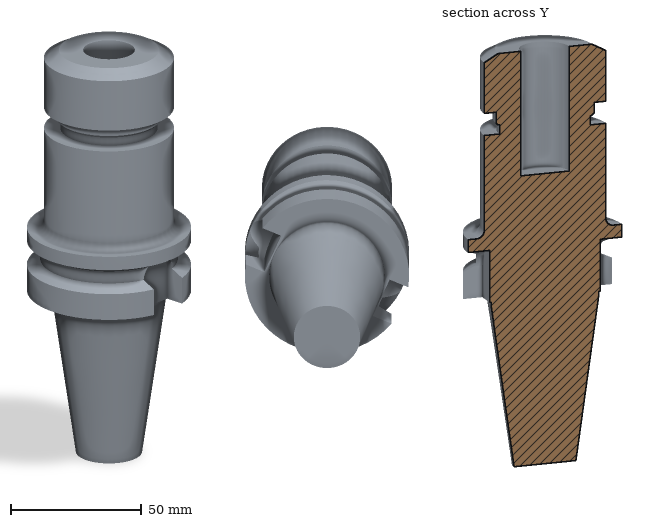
import cadquery as cq

TOTAL_HEIGHT = 165.4
GAUGE_Z = 65.3
FLANGE_BOTTOM_Z = 66.5
GROOVE_Z = 82.0
FLANGE_TOP_Z = 92.5
BODY_TOP_Z = 133.3
COLLAR_BOTTOM_Z = 136.8
NUT_BOTTOM_Z = 141.9

TAPER_SMALL_RADIUS = 12.7
GAUGE_RADIUS = 22.2
FLANGE_RADIUS = 31.51
GROOVE_RADIUS = 26.5
BODY_RADIUS = 25.0
NECK_RADIUS = 18.7
COLLAR_RADIUS = 20.2
NUT_TOP_RADIUS = 19.2
BORE_RADIUS = 10.0

GROOVE_FLOOR_WIDTH = 5.0
GROOVE_FLANK_HEIGHT = 2.5
BODY_FILLET = 3.0
COLLAR_CHAMFER = 1.0
NUT_CHAMFER_HEIGHT = 3.1
BORE_DEPTH = 49.6
SLOT_WIDTH = 16.2
SLOT_FLOOR_X = 22.7
SLOT_TOP_Z = 87.2


def make_holder():
    """Revolve the taper, flange, body, neck and clamping nut about Z."""
    floor_bottom = GROOVE_Z - GROOVE_FLOOR_WIDTH / 2
    floor_top = GROOVE_Z + GROOVE_FLOOR_WIDTH / 2
    profile = (
        cq.Workplane("XZ")
        .moveTo(0, 0)
        .lineTo(TAPER_SMALL_RADIUS, 0)
        .lineTo(GAUGE_RADIUS, GAUGE_Z)
        .lineTo(GAUGE_RADIUS, FLANGE_BOTTOM_Z)
        .lineTo(FLANGE_RADIUS, FLANGE_BOTTOM_Z)
        .lineTo(FLANGE_RADIUS, floor_bottom - GROOVE_FLANK_HEIGHT)
        .lineTo(GROOVE_RADIUS, floor_bottom)
        .lineTo(GROOVE_RADIUS, floor_top)
        .lineTo(FLANGE_RADIUS, floor_top + GROOVE_FLANK_HEIGHT)
        .lineTo(FLANGE_RADIUS, FLANGE_TOP_Z)
        .lineTo(BODY_RADIUS + BODY_FILLET, FLANGE_TOP_Z)
        .radiusArc((BODY_RADIUS, FLANGE_TOP_Z + BODY_FILLET), BODY_FILLET)
        .lineTo(BODY_RADIUS, BODY_TOP_Z)
        .lineTo(NECK_RADIUS, BODY_TOP_Z)
        .lineTo(NECK_RADIUS, COLLAR_BOTTOM_Z)
        .lineTo(COLLAR_RADIUS - COLLAR_CHAMFER, COLLAR_BOTTOM_Z)
        .lineTo(COLLAR_RADIUS, COLLAR_BOTTOM_Z + COLLAR_CHAMFER)
        .lineTo(COLLAR_RADIUS, NUT_BOTTOM_Z)
        .lineTo(BODY_RADIUS, NUT_BOTTOM_Z)
        .lineTo(BODY_RADIUS, TOTAL_HEIGHT - NUT_CHAMFER_HEIGHT)
        .lineTo(NUT_TOP_RADIUS, TOTAL_HEIGHT)
        .lineTo(0, TOTAL_HEIGHT)
        .close()
    )
    return profile.revolve(360, (0, 0, 0), (0, 1, 0))


def make_bore():
    """Blind collet bore, open at the top of the nut."""
    bore = cq.Workplane("XY").workplane(offset=TOTAL_HEIGHT - BORE_DEPTH)
    return bore.circle(BORE_RADIUS).extrude(BORE_DEPTH)


def make_drive_slot(side):
    """Round-topped slot cut into the flange; side is +1 or -1 along X."""
    half_width = SLOT_WIDTH / 2
    spring_z = SLOT_TOP_Z - half_width
    outline = (
        cq.Workplane("YZ", origin=(side * SLOT_FLOOR_X, 0, 0))
        .moveTo(-half_width, FLANGE_BOTTOM_Z)
        .lineTo(-half_width, spring_z)
        .threePointArc((0, SLOT_TOP_Z), (half_width, spring_z))
        .lineTo(half_width, FLANGE_BOTTOM_Z)
        .close()
    )
    return outline.extrude(side * FLANGE_RADIUS)


result = make_holder().cut(make_bore())
for side in (-1, 1):
    result = result.cut(make_drive_slot(side))